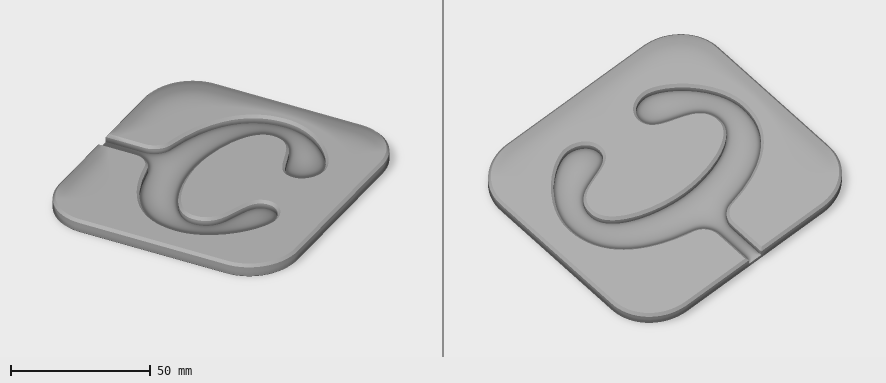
import cadquery as cq
import math

length_x = 96.6
width_y = 105.0
thickness = 5.0
corner_x = 18.5
corner_y = 19.8
bottom_chamfer = 0.4
rim_chamfer = 1.0

pocket_depth = 3.0
channel_half_width = 2.9
channel_end_x = -32.8
flare_radius = 7.9
flare_angle = math.radians(79)
flare_end = (
    channel_end_x + flare_radius * math.sin(flare_angle),
    channel_half_width + flare_radius * (1 - math.cos(flare_angle)),
)
flare_direction = (math.cos(flare_angle), math.sin(flare_angle))

down, left, right = (0, -1), (-1, 0), (1, 0)
wall_stretches = [
    ((4.2, 41.5), right, 14.2, 18.9),
    ((31.4, 18.6), down, 14.6, 7.2),
    ((24.4, 10.0), left, 4.3, 4.3),
    ((5.1, 31.2), left, 10.3, 14.0),
    ((-10.5, 0.0), down, 9.9, 13.6),
]


def step(point, direction, distance):
    """Point reached by moving a distance along a direction."""
    return (point[0] + distance * direction[0], point[1] + distance * direction[1])


def make_plate():
    """Plate with elliptical corners and chamfered upper and lower edges."""
    half_x = length_x / 2
    half_y = width_y / 2
    quadrant = (
        cq.Workplane("XY")
        .moveTo(0, 0)
        .lineTo(half_x, 0)
        .lineTo(half_x, half_y - corner_y)
        .ellipseArc(corner_x, corner_y, 0, 90, startAtCurrent=True)
        .lineTo(0, half_y)
        .close()
        .extrude(thickness)
    )
    half = quadrant.union(quadrant.mirror("YZ"))
    plate = half.union(half.mirror("XZ")).clean()
    plate = plate.faces(">Z").edges().chamfer(rim_chamfer)
    return plate.faces("<Z").edges().chamfer(bottom_chamfer)


def pocket_half_outline(base_z):
    """Closed outline of the half of the pocket on the +Y side."""
    channel_start_x = -length_x
    outline = (
        cq.Workplane("XY", origin=(0, 0, base_z))
        .moveTo(channel_start_x, 0)
        .lineTo(channel_start_x, channel_half_width)
        .lineTo(channel_end_x, channel_half_width)
        .tangentArcPoint(flare_end, relative=False)
    )
    start = flare_end
    direction = flare_direction
    for end, end_direction, start_reach, end_reach in wall_stretches:
        start_handle = step(start, direction, start_reach)
        end_handle = step(end, end_direction, -end_reach)
        outline = outline.bezier([start, start_handle, end_handle, end])
        start = end
        direction = end_direction
    return outline.close()


def make_pocket():
    """C-shaped cutter, symmetric about the XZ plane, flared along its top edges."""
    half = pocket_half_outline(thickness - pocket_depth).extrude(pocket_depth)
    bevel = pocket_half_outline(thickness - rim_chamfer).extrude(rim_chamfer, taper=-45)
    half = half.union(bevel)
    return half.union(half.mirror("XZ"))


result = make_plate().cut(make_pocket())